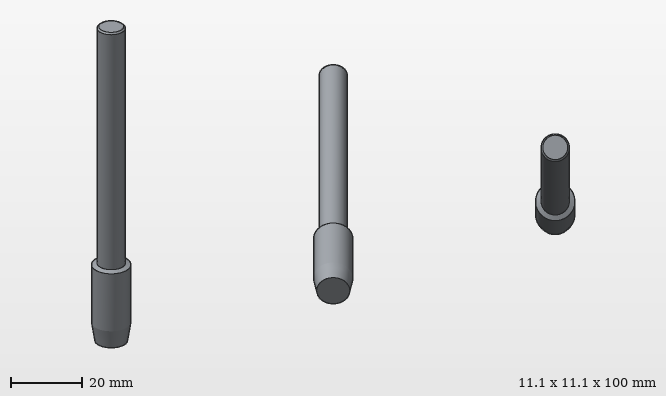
import cadquery as cq

total_length = 100.0
shank_diameter = 8.0
shank_chamfer = 0.5
head_diameter = 11.1
head_length = 24.6
shoulder_height = 0.5
tip_diameter = 9.3
tip_length = 5.7

shank_radius = shank_diameter / 2
head_radius = head_diameter / 2
tip_radius = tip_diameter / 2
shank_length = total_length - head_length


def make_head():
    """Cylindrical head with a tapered tip below and a shallow conical shoulder above."""
    return (
        cq.Workplane("XZ")
        .moveTo(0, 0)
        .lineTo(tip_radius, 0)
        .lineTo(head_radius, tip_length)
        .lineTo(head_radius, head_length - shoulder_height)
        .lineTo(shank_radius, head_length)
        .lineTo(0, head_length)
        .close()
        .revolve(360, (0, 0, 0), (0, 1, 0))
    )


def make_shank():
    """Plain round shank, seated on the head and chamfered at its free end."""
    return (
        cq.Workplane("XY")
        .workplane(offset=head_length)
        .circle(shank_radius)
        .extrude(shank_length)
        .faces(">Z")
        .chamfer(shank_chamfer)
    )


head = make_head()
shank = make_shank()

result = cq.Compound.makeCompound([head.val(), shank.val()])